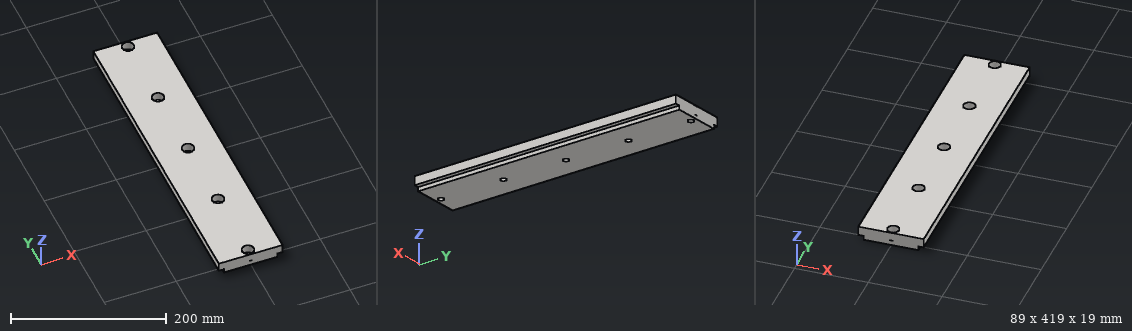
import cadquery as cq

length = 419.0
plate_width = 89.0
tongue_width = 74.0
total_height = 19.0
plate_thickness = 13.0
tongue_height = total_height - plate_thickness

hole_count = 5
hole_pitch = 100.0
hole_diameter = 9.0
counterbore_diameter = 16.0
counterbore_depth = 12.5

tongue = cq.Workplane("XY").box(tongue_width, length, tongue_height, centered=(True, True, False))
plate = (
    cq.Workplane("XY", origin=(0, 0, tongue_height))
    .box(plate_width, length, plate_thickness, centered=(True, True, False))
)

result = (
    tongue.union(plate)
    .faces(">Z").workplane(origin=(0, 0, total_height))
    .rarray(4, hole_pitch, 1, hole_count)
    .cboreHole(hole_diameter, counterbore_diameter, counterbore_depth)
)